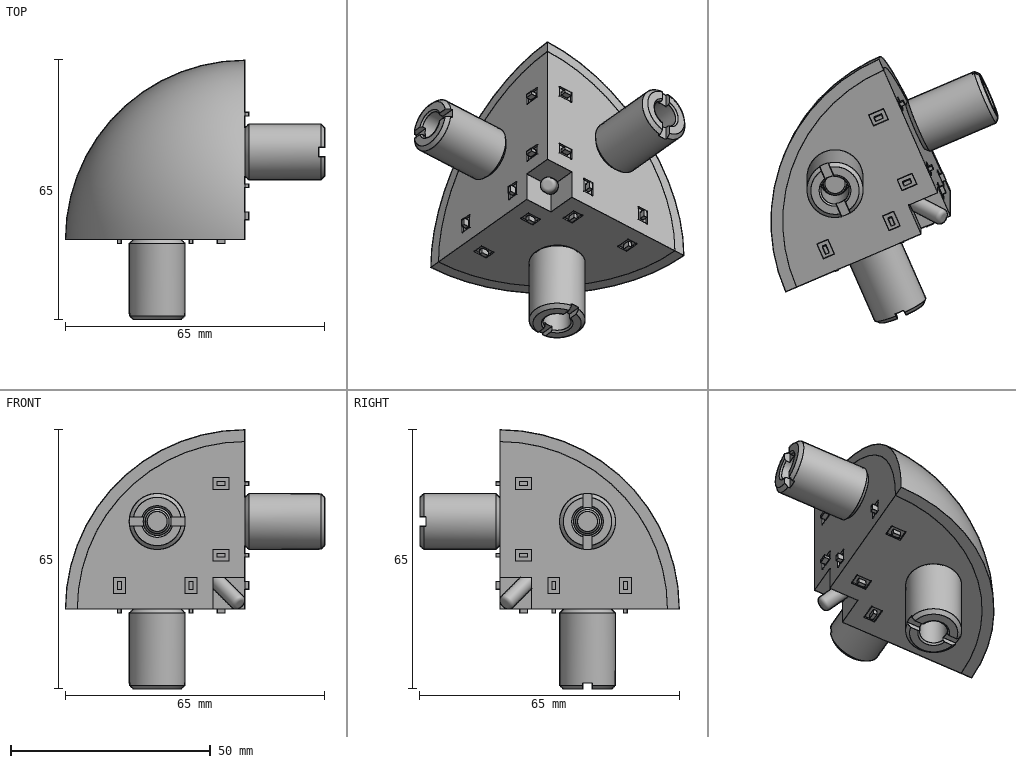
import cadquery as cq
import math


ball_radius = 45.0
shell_thickness = 3.0
core_radius = ball_radius - shell_thickness
corner_recess = 8.0

overall_size = 65.0
post_length = overall_size - ball_radius
post_radius = 7.0
post_offset = 22.0
post_chamfer = 1.0
bore_radius = 3.5
bore_chamfer = 0.45
slot_width = 2.35
slot_depth = 1.5

pin_step = 0.5
pin_radius = bore_radius
pin_neck_radius = pin_radius - pin_step
pin_tip_radius = pin_neck_radius - pin_step
pin_length = post_length / 2
pin_neck_length = 2.0

tab_edge_offset = 6.0
tab_near_distance = 13.5
tab_far_distance = 31.45
pocket_length = 4.0
pocket_width = 3.0
pocket_depth = 0.5
tab_length = 2.0
tab_width = 1.0
tab_height = 1.0

rod_radius = 2.0
rod_tip_fillet = 1.0
rod_tip_distance = 2.2
recess_diagonal = corner_recess * math.sqrt(3)
rod_seat_depth = 4.0
rod_length = recess_diagonal - rod_tip_distance + rod_seat_depth

front_face = cq.Plane(origin=(0, 0, 0), xDir=(0, 0, 1), normal=(0, -1, 0))
side_face = cq.Plane(origin=(0, 0, 0), xDir=(0, 1, 0), normal=(1, 0, 0))
bottom_face = cq.Plane(origin=(0, 0, 0), xDir=(-1, 0, 0), normal=(0, 0, -1))
flat_faces = [front_face, side_face, bottom_face]

slot_angles = [90, 90, 0]


def octant_box(size):
    """Cube with one corner at the ball centre, filling the -X, +Y, +Z octant."""
    return cq.Workplane("XY").box(size, size, size, centered=False).translate((-size, 0, 0))


def ball_octant(radius):
    return cq.Workplane("XY").sphere(radius).intersect(octant_box(radius))


def make_shell():
    return ball_octant(ball_radius).cut(ball_octant(core_radius))


def tab_places():
    """Local (x, y, angle) of the four tabs on a face, two along each straight edge."""
    places = []
    for distance in (tab_near_distance, tab_far_distance):
        places.append((tab_edge_offset, distance, 0))
        places.append((distance, tab_edge_offset, 90))
    return places


def block_on_face(face, place, length, width, bottom, top):
    """Rectangular block at a tab place, between two heights relative to the flat face."""
    x, y, angle = place
    return (
        cq.Workplane(face)
        .workplane(offset=bottom)
        .center(x, y)
        .transformed(rotate=(0, 0, angle))
        .rect(length, width)
        .extrude(top - bottom)
    )


def make_rod():
    """Rod on the diagonal, with a rounded tip just inside the three flat faces."""
    diagonal = cq.Plane(
        origin=(-corner_recess, corner_recess, corner_recess),
        xDir=(1, 1, 0),
        normal=(1, -1, -1),
    )
    return (
        cq.Workplane(diagonal)
        .workplane(offset=-rod_seat_depth)
        .circle(rod_radius)
        .extrude(rod_length)
        .faces(">(1, -1, -1)")
        .edges()
        .fillet(rod_tip_fillet)
    )


def make_core(rod):
    """Inner octant with the corner notch, the rod socket and the pocketed tabs."""
    body = ball_octant(core_radius).cut(octant_box(corner_recess)).cut(rod)
    for face in flat_faces:
        for place in tab_places():
            pocket = block_on_face(face, place, pocket_length, pocket_width, -pocket_depth, 0)
            tab = block_on_face(face, place, tab_length, tab_width, -pocket_depth, tab_height)
            body = body.cut(pocket).union(tab)
    return body


def make_post(face, slot_angle):
    """Chamfered sleeve standing on a flat face, slotted across its free end."""
    base = cq.Workplane(face).center(post_offset, post_offset)
    sleeve = base.circle(post_radius).extrude(post_length).edges("%CIRCLE").chamfer(post_chamfer)
    bore = base.circle(bore_radius).extrude(post_length)
    bore_mouth = (
        base.workplane(offset=post_length)
        .circle(bore_radius + bore_chamfer)
        .workplane(offset=-bore_chamfer)
        .circle(bore_radius)
        .loft(ruled=True)
    )
    slot = (
        base.workplane(offset=post_length - slot_depth)
        .transformed(rotate=(0, 0, slot_angle))
        .rect(2 * post_radius, slot_width)
        .extrude(slot_depth)
    )
    return sleeve.cut(bore).cut(bore_mouth).cut(slot)


def make_pin(face):
    """Pin filling the lower bore, with a chamfered shoulder, a neck and a chamfered tip."""
    base = cq.Workplane(face).center(post_offset, post_offset)
    neck_top = pin_length - pin_step
    neck_bottom = neck_top - pin_neck_length
    shoulder = neck_bottom - pin_step
    half_section = cq.Workplane("XZ").polyline([
        (0, 0),
        (pin_radius, 0),
        (pin_radius, shoulder),
        (pin_neck_radius, neck_bottom),
        (pin_neck_radius, neck_top),
        (pin_tip_radius, pin_length),
        (0, pin_length),
    ]).close()
    pin = half_section.revolve(360, (0, 0, 0), (0, 1, 0))
    return cq.Workplane(pin.val().moved(cq.Location(base.plane)))


shell = make_shell()
rod = make_rod()
core = make_core(rod)
posts = [make_post(face, angle) for face, angle in zip(flat_faces, slot_angles)]
pins = [make_pin(face) for face in flat_faces]

result = cq.Compound.makeCompound([
    shell.val(),
    core.val(),
    rod.val(),
    *[post.val() for post in posts],
    *[pin.val() for pin in pins],
])